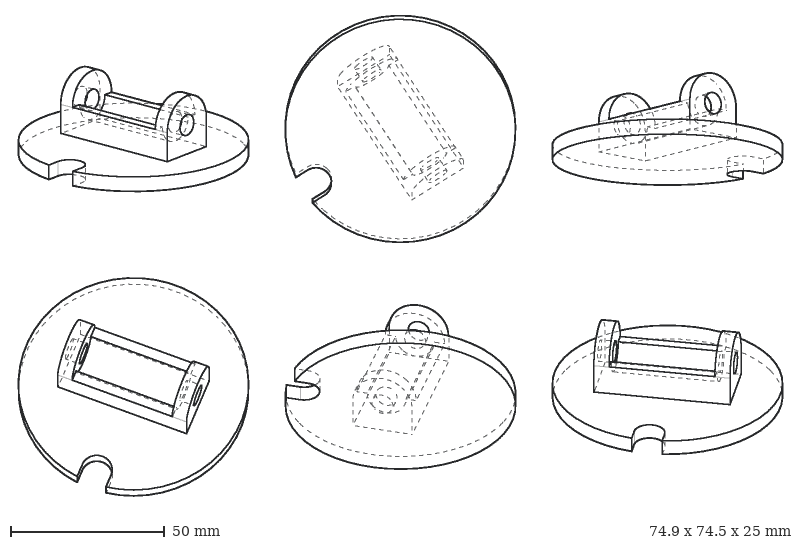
import cadquery as cq

base_diameter = 74.85
plate_thickness = 5.0
bracket_length = 45.0
bracket_width = 20.0
overall_height = 25.0
pin_hole_diameter = 7.0
trough_diameter = 13.0
notch_width = 10.0
notch_center_offset = 32.5

ear_radius = bracket_width / 2
axis_height = overall_height - ear_radius
block_height = axis_height - plate_thickness
trough_length = bracket_length - 2 * plate_thickness


def cylinder_on_pin_axis(diameter, length, center_x=0):
    """Cylinder along X, centred on the pin axis at center_x."""
    return (
        cq.Workplane("YZ", origin=(center_x - length / 2, 0, axis_height))
        .circle(diameter / 2)
        .extrude(length)
    )


base = cq.Workplane("XY").circle(base_diameter / 2).extrude(plate_thickness)

notch_end = (
    cq.Workplane("XY")
    .center(0, -notch_center_offset)
    .circle(notch_width / 2)
    .extrude(plate_thickness)
)
notch_mouth = (
    cq.Workplane("XY")
    .center(0, -notch_center_offset - notch_width / 2)
    .rect(notch_width, notch_width)
    .extrude(plate_thickness)
)
base = base.cut(notch_end).cut(notch_mouth)

block = (
    cq.Workplane("XY", origin=(0, 0, plate_thickness))
    .rect(bracket_length, bracket_width)
    .extrude(block_height)
    .cut(cylinder_on_pin_axis(trough_diameter, trough_length))
)
result = base.union(block)

ear_offset = (bracket_length - plate_thickness) / 2
for side in (-1, 1):
    ear = cylinder_on_pin_axis(bracket_width, plate_thickness, side * ear_offset)
    result = result.union(ear)

result = result.cut(cylinder_on_pin_axis(pin_hole_diameter, bracket_length))